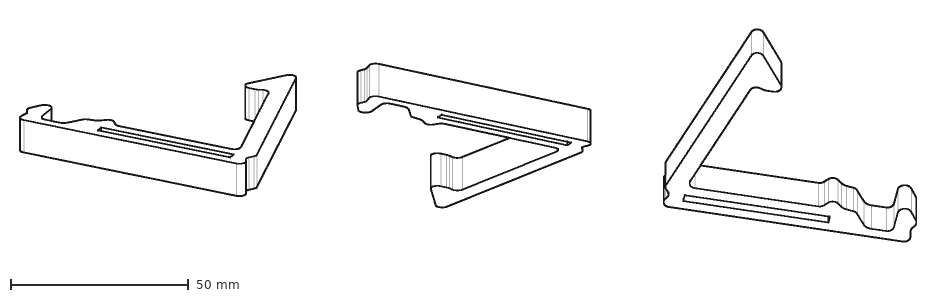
import cadquery as cq
import math

thickness = 10.0
corner_radius = 1.9
soft_radius = 3.0
notch_radius = 1.6

shelf_height = 8.4
base_left = 0.2
base_right = 72.7
hinge_notch = (70.1, 4.45)

arm_lean = math.radians(15)
arm_outer_foot = (72.05, 7.25)
arm_inner_foot = (66.1, shelf_height)
arm_tip_height = 64.3
barb_height = 48.3
barb_root_height = 49.55
barb_point = 45.4
barb_flat_end = 51.4

bump_right = 27.3
bump_peak = (24.6, 11.85)
bump_valley = (21.2, 9.0)
shoulder_left = 17.5

pocket_floor = 3.0
pocket_right = 13.6
post_right = 5.9
post_radius = 2.0
post_peak_height = 17.0
post_bulge = (-0.35, 7.55)
post_notch = (1.1, 4.95)

slot_left = 24.3
slot_right = 65.9
slot_bottom = pocket_floor
slot_top = 5.25


def along_arm(foot, height):
    """Point at the given height on an arm face that starts at foot."""
    return (foot[0] - (height - foot[1]) * math.tan(arm_lean), height)


def rounded_outline(corners):
    """Closed wire through (point, radius) corners, each rounded by a tangent arc."""
    arcs = []
    for i, (point, radius) in enumerate(corners):
        corner = cq.Vector(*point)
        to_previous = (cq.Vector(*corners[i - 1][0]) - corner).normalized()
        to_next = (cq.Vector(*corners[(i + 1) % len(corners)][0]) - corner).normalized()
        half_angle = to_previous.getAngle(to_next) / 2
        setback = radius / math.tan(half_angle)
        arc_gap = radius / math.sin(half_angle) - radius
        bisector = (to_previous + to_next).normalized()
        arcs.append((corner + to_previous * setback, corner + bisector * arc_gap, corner + to_next * setback))

    outline = cq.Workplane("XY").moveTo(*arcs[0][0].toTuple()[:2])
    for i, (start, middle, end) in enumerate(arcs):
        if i > 0:
            outline = outline.lineTo(start.x, start.y)
        outline = outline.threePointArc((middle.x, middle.y), (end.x, end.y))
    return outline.close()


hinge_end = [
    ((base_left, 0), corner_radius),
    ((base_right, 0), corner_radius),
    (hinge_notch, notch_radius),
    (arm_outer_foot, notch_radius),
]
hooked_arm = [
    (along_arm(arm_outer_foot, arm_tip_height), corner_radius),
    ((barb_point, barb_height), corner_radius),
    ((barb_flat_end, barb_height), soft_radius),
    (along_arm(arm_inner_foot, barb_root_height), corner_radius),
    (arm_inner_foot, corner_radius),
]
catch_bump = [
    ((bump_right, shelf_height), corner_radius),
    (bump_peak, corner_radius),
    (bump_valley, soft_radius),
    ((shoulder_left, shelf_height), corner_radius),
]
pocket_and_post = [
    ((pocket_right, pocket_floor), soft_radius),
    ((post_right, pocket_floor), corner_radius),
    ((post_right, post_peak_height), post_radius),
    (post_bulge, post_radius),
    (post_notch, notch_radius),
]

body = rounded_outline(hinge_end + hooked_arm + catch_bump + pocket_and_post).extrude(thickness)

slot = (
    cq.Workplane("XY")
    .moveTo(slot_left, slot_bottom)
    .lineTo(slot_right, slot_bottom)
    .lineTo(slot_right, slot_top)
    .lineTo(slot_left, slot_top)
    .close()
    .extrude(thickness)
)

result = body.cut(slot)